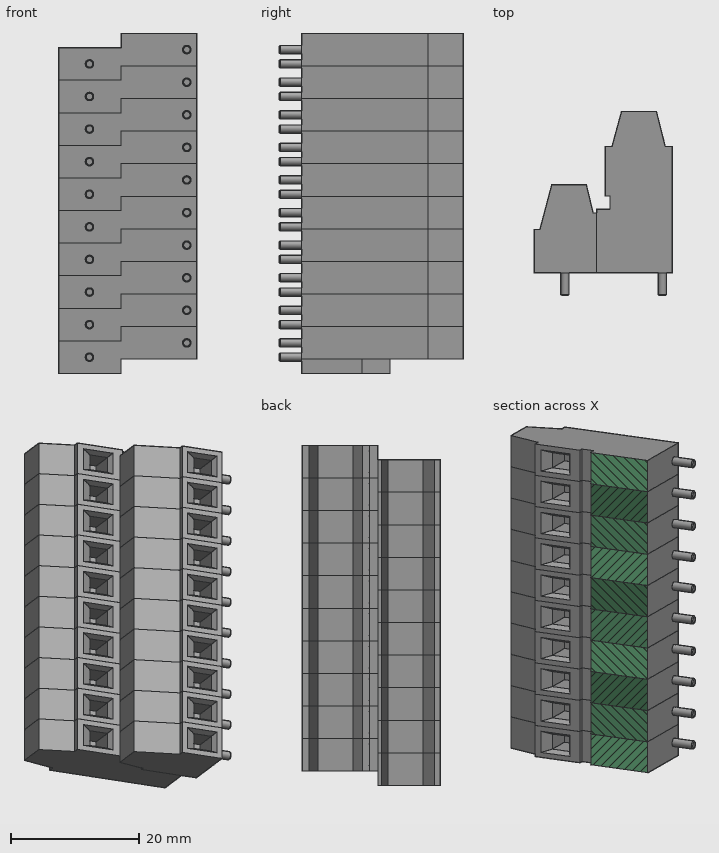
import cadquery as cq

module_count = 10
stack_height = 53.05
level_offset = 2.25
pitch = (stack_height - level_offset) / module_count

front_depth = 9.75
front_shoulder_y = 6.8
front_inner_shoulder_y = 9.4
front_top_y = 13.8
front_top_x = (2.75, 8.15)
front_foot_x = (0.9, 9.25)

rear_face_x = 11.1
rear_back_x = 21.6
rear_shoulder_y = 19.75
rear_top_y = 25.2
rear_top_x = (13.65, 19.1)
rear_foot_x = (12.15, 20.5)

notch_floor_x = 11.85
notch_low_y = 9.95
notch_high_y = 12.0

front_entry_y = 0.9
rear_entry_y = 13.7
mouth_width = 5.05
mouth_height = 3.45
throat_offset = 0.55
throat_width = 2.95
throat_height = 2.45
funnel_depth = 0.9
throat_depth = 4.25

pin_diameter = 1.3
pin_length = 3.5
pin_chamfer = 0.15
front_pin_x = 4.85
rear_pin_x = 20.0


def front_level(z):
    """Low block with a tapered top, its lower face at z."""
    outline = [
        (0, 0),
        (front_depth, 0),
        (front_depth, front_inner_shoulder_y),
        (front_foot_x[1], front_inner_shoulder_y),
        (front_top_x[1], front_top_y),
        (front_top_x[0], front_top_y),
        (front_foot_x[0], front_shoulder_y),
        (0, front_shoulder_y),
    ]
    return cq.Workplane("XY", origin=(0, 0, z)).polyline(outline).close().extrude(pitch)


def rear_level(z):
    """Tall block with a tapered top and a notch in its face, its lower face at z."""
    outline = [
        (front_depth, 0),
        (rear_back_x, 0),
        (rear_back_x, rear_shoulder_y),
        (rear_foot_x[1], rear_shoulder_y),
        (rear_top_x[1], rear_top_y),
        (rear_top_x[0], rear_top_y),
        (rear_foot_x[0], rear_shoulder_y),
        (rear_face_x, rear_shoulder_y),
        (rear_face_x, notch_high_y),
        (notch_floor_x, notch_high_y),
        (notch_floor_x, notch_low_y),
        (front_depth, notch_low_y),
    ]
    return cq.Workplane("XY", origin=(0, 0, z)).polyline(outline).close().extrude(pitch)


def wire_entry(face_x, entry_y, middle_z):
    """Cutter for one wire entry, running in +X from the face at face_x."""
    mouth_middle_y = entry_y + mouth_width / 2
    throat_middle_y = entry_y + throat_offset + throat_width / 2
    funnel = (
        cq.Workplane("YZ", origin=(face_x, mouth_middle_y, middle_z))
        .rect(mouth_width, mouth_height)
        .workplane(offset=funnel_depth)
        .center(throat_middle_y - mouth_middle_y, 0)
        .rect(throat_width, throat_height)
        .loft(ruled=True)
    )
    throat = (
        cq.Workplane("YZ", origin=(face_x + funnel_depth, throat_middle_y, middle_z))
        .rect(throat_width, throat_height)
        .extrude(throat_depth)
    )
    return funnel.union(throat)


def solder_pin(x, z):
    """Round pin pointing in -Y from the solder side, with a chamfered tip."""
    return (
        cq.Workplane("XZ", origin=(x, 0, z))
        .circle(pin_diameter / 2)
        .extrude(pin_length)
        .faces("<Y")
        .chamfer(pin_chamfer)
    )


def terminal_module(front_z):
    """One complete module; its front level starts at front_z."""
    rear_z = front_z + level_offset
    front_middle_z = front_z + pitch / 2
    rear_middle_z = rear_z + pitch / 2
    return (
        front_level(front_z)
        .union(rear_level(rear_z))
        .cut(wire_entry(0, front_entry_y, front_middle_z))
        .cut(wire_entry(rear_face_x, rear_entry_y, rear_middle_z))
        .union(solder_pin(front_pin_x, front_middle_z))
        .union(solder_pin(rear_pin_x, rear_middle_z))
    )


modules = [terminal_module(index * pitch) for index in range(module_count)]

result = cq.Compound.makeCompound([module.val() for module in modules])